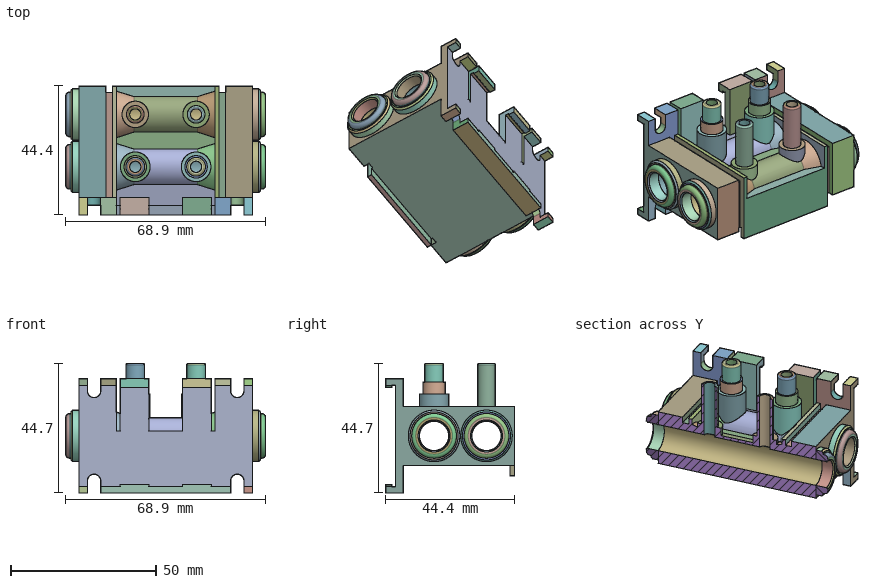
import cadquery as cq


LENGTH = 68.9
BLOCK_HALF = 29.9
BLOCK_HEIGHT = 20.4
FLANGE_BACK = 38.3
BLOCK_TOP = BLOCK_HEIGHT / 2

TROUGH_HALF = 16.95
TROUGH_FLOOR = 1.7
TUBE_RADIUS = 6.35
CONE_RADIUS = 8.2
CONE_START = 10.9
BORE_RADIUS = 5.0
TUBE_Y_REAR = -9.7
TUBE_SPACING = 18.05
TUBE_Y_FRONT = TUBE_Y_REAR - TUBE_SPACING

GROOVE_INNER = 18.4
GROOVE_OUTER = 20.6
GROOVE_DEPTH = 2.15

TAB_DROP = 3.6
TAB_THICKNESS = 1.65

FLANGE_HALF_HEIGHT = 19.7
FLANGE_THICKNESS = 2.75
TOTAL_DEPTH = 44.4
LIP_THICKNESS = 2.3
HOOK_HEIGHT = 0.7
HOOK_DEPTH = 2.15
LATCH_INNER = 5.8
LATCH_OUTER = 15.7
SLOT_X = 24.65
SLOT_WIDTH = 4.5
SLOT_DEPTH = 6.5
FLANGE_FRONT = FLANGE_BACK + FLANGE_THICKNESS

NIPPLE_X = 10.5
NIPPLE_TOP = 25.0
NIPPLE_BORE_RADIUS = 1.9
NIPPLE_TIP_FILLET = 0.55
REAR_NIPPLE = [(4.55, 9.2), (3.0, NIPPLE_TOP)]
FRONT_NIPPLE = [(5.1, 14.45), (3.85, 18.5), (3.25, NIPPLE_TOP)]

FITTING_LENGTH = LENGTH / 2 - BLOCK_HALF
FITTING_RADIUS = 8.9
FITTING_CHAMFER = 0.6
COLLET_RADIUS = 7.7
COLLET_LENGTH = 1.8
COLLET_FILLET = 1.4
MOUTH_CHAMFER = 0.5


def box(x_range, y_range, z_range):
    """Box between two corners, with each range given as (low, high)."""
    (x0, x1), (y0, y1), (z0, z1) = x_range, y_range, z_range
    return cq.Workplane("XY").box(x1 - x0, y1 - y0, z1 - z0, centered=False).translate((x0, y0, z0))


def both_sides(shape):
    """The shape together with its mirror image across the middle of the part."""
    return shape.union(shape.mirror("YZ"))


def make_block():
    block = box((-BLOCK_HALF, BLOCK_HALF), (-FLANGE_BACK, 0), (-BLOCK_TOP, BLOCK_TOP))
    trough = box((-TROUGH_HALF, TROUGH_HALF), (-FLANGE_BACK, 0), (TROUGH_FLOOR, BLOCK_TOP))
    groove_x = (GROOVE_INNER, GROOVE_OUTER)
    top_groove = box(groove_x, (-FLANGE_BACK, 0), (BLOCK_TOP - GROOVE_DEPTH, BLOCK_TOP))
    back_groove = box(groove_x, (-GROOVE_DEPTH, 0), (-BLOCK_TOP, BLOCK_TOP))
    block = block.cut(trough).cut(both_sides(top_groove.union(back_groove)))
    tab = box((-GROOVE_INNER, GROOVE_INNER), (-TAB_THICKNESS, 0), (-BLOCK_TOP - TAB_DROP, -BLOCK_TOP))
    return block.union(tab)


def make_flange():
    full_x = (-BLOCK_HALF, BLOCK_HALF)
    latch_x = (LATCH_INNER, LATCH_OUTER)
    lip_y = (-TOTAL_DEPTH, -FLANGE_FRONT)
    hook_y = (-TOTAL_DEPTH, -TOTAL_DEPTH + HOOK_DEPTH)
    lip_base = FLANGE_HALF_HEIGHT - LIP_THICKNESS

    half = box(full_x, (-FLANGE_FRONT, -FLANGE_BACK), (0, FLANGE_HALF_HEIGHT))
    half = half.union(box(full_x, lip_y, (lip_base, FLANGE_HALF_HEIGHT)))
    half = half.union(both_sides(box(latch_x, hook_y, (lip_base - HOOK_HEIGHT, lip_base))))
    slot_radius = SLOT_WIDTH / 2
    slot_center = FLANGE_HALF_HEIGHT - SLOT_DEPTH + slot_radius
    slot = (
        cq.Workplane("XZ")
        .moveTo(SLOT_X - slot_radius, FLANGE_HALF_HEIGHT)
        .lineTo(SLOT_X - slot_radius, slot_center)
        .threePointArc((SLOT_X, slot_center - slot_radius), (SLOT_X + slot_radius, slot_center))
        .lineTo(SLOT_X + slot_radius, FLANGE_HALF_HEIGHT)
        .close()
        .extrude(TOTAL_DEPTH)
    )
    half = half.cut(both_sides(slot))
    flange = half.union(half.mirror("XY"))

    cut_y = (-TOTAL_DEPTH, -FLANGE_BACK)
    cut_z = (TROUGH_FLOOR, FLANGE_HALF_HEIGHT)
    notch = box((-LATCH_INNER, LATCH_INNER), cut_y, cut_z)
    slits = both_sides(box((LATCH_OUTER, TROUGH_HALF), cut_y, cut_z))
    return flange.cut(notch).cut(slits)


def make_tube(y):
    """Tube along X that flares toward both end walls; its lower half sinks into the block."""
    profile = [
        (-TROUGH_HALF, 0),
        (-TROUGH_HALF, CONE_RADIUS),
        (-CONE_START, TUBE_RADIUS),
        (CONE_START, TUBE_RADIUS),
        (TROUGH_HALF, CONE_RADIUS),
        (TROUGH_HALF, 0),
    ]
    tube = cq.Workplane("XZ").polyline(profile).close().revolve(360, (0, 0, 0), (1, 0, 0))
    return tube.translate((0, y, 0))


def make_nipple(x, y, steps):
    """Stepped round post rising from the tube axis, with a rounded tip."""
    nipple = cq.Workplane("XY")
    for radius, top in steps:
        nipple = nipple.union(cq.Workplane("XY").circle(radius).extrude(top))
    nipple = nipple.faces(">Z").edges().fillet(NIPPLE_TIP_FILLET)
    return nipple.translate((x, y, 0))


def make_housing():
    housing = make_block().union(make_flange())
    rows = [(TUBE_Y_REAR, REAR_NIPPLE), (TUBE_Y_FRONT, FRONT_NIPPLE)]
    for y, steps in rows:
        housing = housing.union(make_tube(y))
        for x in (-NIPPLE_X, NIPPLE_X):
            housing = housing.union(make_nipple(x, y, steps))
    for y, _ in rows:
        bore = cq.Workplane("YZ").center(y, 0).circle(BORE_RADIUS).extrude(BLOCK_HALF, both=True)
        housing = housing.cut(bore)
        for x in (-NIPPLE_X, NIPPLE_X):
            nipple_bore = cq.Workplane("XY").center(x, y).circle(NIPPLE_BORE_RADIUS).extrude(NIPPLE_TOP)
            housing = housing.cut(nipple_bore)
    return housing


def make_fitting(side, y):
    """Ring on an end face of the block; side is -1 or 1, the X direction in which its mouth points."""
    shoulder = FITTING_LENGTH - COLLET_LENGTH
    base = cq.Workplane("XY").circle(FITTING_RADIUS).extrude(shoulder)
    base = base.faces(">Z").chamfer(FITTING_CHAMFER)
    collet = cq.Workplane("XY").circle(COLLET_RADIUS).extrude(FITTING_LENGTH)
    collet = collet.faces(">Z").edges().fillet(COLLET_FILLET)
    bore = cq.Workplane("XY").circle(BORE_RADIUS).extrude(FITTING_LENGTH)
    mouth = (
        cq.Workplane("XY", origin=(0, 0, FITTING_LENGTH - MOUTH_CHAMFER))
        .circle(BORE_RADIUS)
        .workplane(offset=MOUTH_CHAMFER)
        .circle(BORE_RADIUS + MOUTH_CHAMFER)
        .loft()
    )
    fitting = base.union(collet).cut(bore).cut(mouth)
    return fitting.rotate((0, 0, 0), (0, 1, 0), side * 90).translate((side * BLOCK_HALF, y, 0))


housing = make_housing()
fittings = []
for tube_y in (TUBE_Y_REAR, TUBE_Y_FRONT):
    for end in (-1, 1):
        fittings.append(make_fitting(end, tube_y).val())

result = cq.Compound.makeCompound([housing.val(), *fittings])